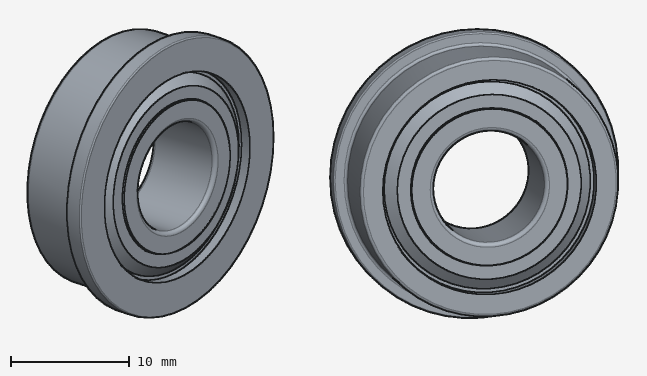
import cadquery as cq


width = 7.14

ring_diameter = 22.23
ring_bore = 18.37
flange_diameter = 24.51
flange_thickness = 1.57
ring_fillet = 0.25
flange_root_fillet = 0.25
flange_edge_fillet = 0.12

bore_diameter = 9.53
inner_ring_diameter = 13.38
bore_fillet = 0.36

shield_bore = 13.51
shield_crown_diameter = 15.81
shield_cone_diameter = 17.73
shield_crown_recess = 0.15
shield_rim_recess = 0.95


def revolve_about_x(profile):
    """Turn a closed profile, drawn as (X, radius), once around the X axis."""
    return profile.close().revolve(360, (0, 0, 0), (1, 0, 0))


def make_outer_ring():
    bore_radius = ring_bore / 2
    ring_radius = ring_diameter / 2
    flange_radius = flange_diameter / 2
    flange_front = width - flange_thickness
    profile = (
        cq.Workplane("XY")
        .moveTo(0, bore_radius)
        .lineTo(0, ring_radius - ring_fillet)
        .radiusArc((ring_fillet, ring_radius), ring_fillet)
        .lineTo(flange_front - flange_root_fillet, ring_radius)
        .radiusArc((flange_front, ring_radius + flange_root_fillet), -flange_root_fillet)
        .lineTo(flange_front, flange_radius - flange_edge_fillet)
        .radiusArc((flange_front + flange_edge_fillet, flange_radius), flange_edge_fillet)
        .lineTo(width - flange_edge_fillet, flange_radius)
        .radiusArc((width, flange_radius - flange_edge_fillet), flange_edge_fillet)
        .lineTo(width, bore_radius)
    )
    return revolve_about_x(profile)


def make_inner_ring():
    bore_radius = bore_diameter / 2
    outer_radius = inner_ring_diameter / 2
    profile = (
        cq.Workplane("XY")
        .moveTo(0, outer_radius)
        .lineTo(width, outer_radius)
        .lineTo(width, bore_radius + bore_fillet)
        .radiusArc((width - bore_fillet, bore_radius), bore_fillet)
        .lineTo(bore_fillet, bore_radius)
        .radiusArc((0, bore_radius + bore_fillet), bore_fillet)
    )
    return revolve_about_x(profile)


def make_shield():
    """Ring filling the outer ring's bore, with a small running gap to the inner ring."""
    half_profile = [
        (shield_crown_recess, shield_bore / 2),
        (shield_crown_recess, shield_crown_diameter / 2),
        (shield_rim_recess, shield_cone_diameter / 2),
        (shield_rim_recess, ring_bore / 2),
    ]
    mirrored_half = [(width - x, radius) for x, radius in reversed(half_profile)]
    return revolve_about_x(cq.Workplane("XY").polyline(half_profile + mirrored_half))


outer_ring = make_outer_ring()
inner_ring = make_inner_ring()
shield = make_shield()

result = cq.Compound.makeCompound([outer_ring.val(), inner_ring.val(), shield.val()])